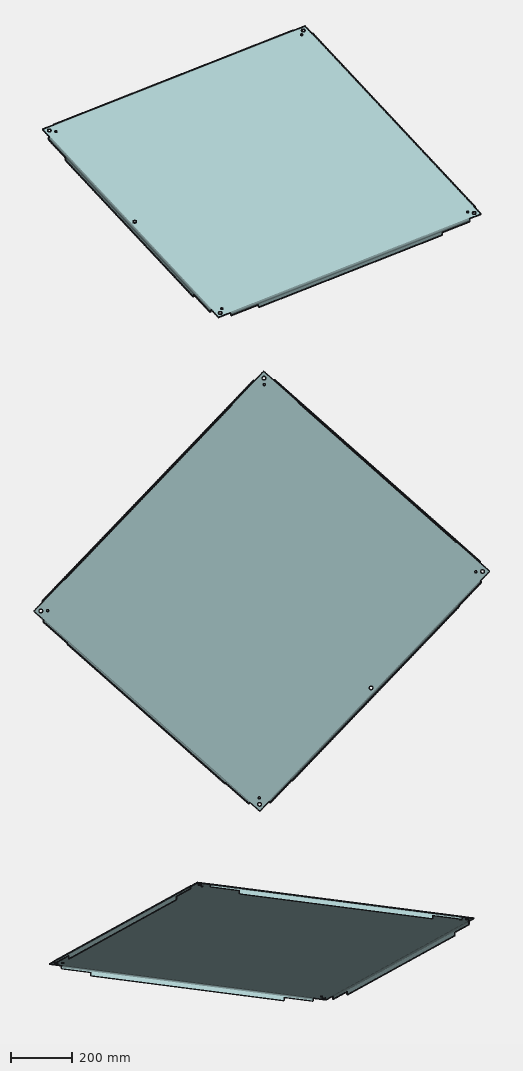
import cadquery as cq

length = 1116.0
width = 1011.0
height = 22.0

thickness = 2.8
bend_radius = 4.7
inner_radius = bend_radius - thickness

shallow_depth = 11.0
shallow_setback = 49.0
deep_setback = 155.0
end_chamfer = 2.0

mount_diameter = 12.0
mount_inset = 21.0
pilot_diameter = 7.1
pilot_inset = 37.0


def flange(side, span):
    """Folded flange facing +X, with its outer face at X = side, for a panel side of length span."""
    half_shallow = span / 2 - shallow_setback
    half_deep = span / 2 - deep_setback
    bend_start = side - bend_radius
    folded_sheet = (
        cq.Workplane("XZ")
        .moveTo(bend_start, 0)
        .radiusArc((side, -bend_radius), bend_radius)
        .lineTo(side, -height)
        .lineTo(side - thickness, -height)
        .lineTo(side - thickness, -bend_radius)
        .radiusArc((bend_start, -thickness), -inner_radius)
        .close()
        .extrude(half_shallow, both=True)
    )
    outline = (
        cq.Workplane("YZ")
        .workplane(offset=bend_start)
        .polyline([
            (0, -height),
            (half_deep - end_chamfer, -height),
            (half_deep, end_chamfer - height),
            (half_deep, -shallow_depth),
            (half_shallow - end_chamfer, -shallow_depth),
            (half_shallow, end_chamfer - shallow_depth),
            (half_shallow, 0),
            (0, 0),
        ])
        .mirrorY()
        .extrude(bend_radius)
    )
    return folded_sheet.intersect(outline)


def corner_points(inset):
    """Four points set in equally from the outer sides of the panel."""
    x = length / 2 - inset
    y = width / 2 - inset
    return [(-x, -y), (x, -y), (-x, y), (x, y)]


def holes(points, diameter):
    """Round cutters through the flat sheet."""
    return cq.Workplane("XY").pushPoints(points).circle(diameter / 2).extrude(-thickness)


result = (
    cq.Workplane("XY")
    .rect(length - 2 * bend_radius, width - 2 * bend_radius)
    .extrude(-thickness)
)

for turn, side, span in (
    (0, length / 2, width),
    (90, width / 2, length),
    (180, length / 2, width),
    (270, width / 2, length),
):
    result = result.union(flange(side, span).rotate((0, 0, 0), (0, 0, 1), turn))

middle_point = (0, mount_inset - width / 2)
result = result.cut(holes(corner_points(mount_inset) + [middle_point], mount_diameter))

result = result.cut(holes(corner_points(pilot_inset), pilot_diameter))